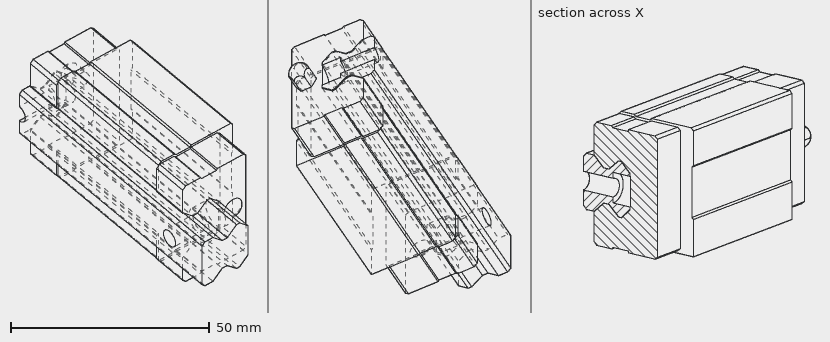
import cadquery as cq
import math


rail_length = 73.15
rail_half_width = 7.5
rail_height = 15.0
rail_base_chamfer = 0.95
rail_foot_top = 3.55
rail_waist_bottom = 6.55
rail_waist_top = 8.1
rail_waist_half_width = 4.7
rail_head_bottom = 11.2
rail_head_top = 12.2
rail_crown_half_width = 4.9

hole_diameter = 4.8
counterbore_diameter = 8.0
counterbore_depth = 5.4
hole_pitch = 60.1
hole_count = 2

side_groove_depth = 0.5
side_groove_low = 9.0
side_groove_high = 14.5

block_length = 40.15
block_width = 34.0
block_half_width = block_width / 2
block_bottom = 3.95
block_top = 28.0
block_bottom_chamfer = 0.9
block_top_chamfer = 0.7
recess_half_width = 6.6
recess_depth = 0.5
block_groove_low_slope = 0.55
block_groove_high_slope = 0.5

cap_length = 10.4
cap_start = 0.3
cap_half_width = 16.3
cap_bottom = 3.3
cap_top = 23.8
cap_bottom_chamfer = 0.95
cap_top_chamfer_y = 0.9
cap_top_chamfer_z = 0.7
cap_groove_low_slope = 0.5
cap_groove_high_slope = 0.2

nipple_height = 19.65
nipple_across_flats = 5.1
overall_length = 78.9
nipple_tip_x = rail_length - overall_length
nipple_tip_radius = 3.0
plug_diameter = 5.7
plug_face_diameter = 3.2
plug_length = 0.95
plug_bulge_radius = 1.4

block_start = cap_start + cap_length
block_end = block_start + block_length
cap_end = block_end + cap_length


def extrude_profile(points, x_start, length):
    """Extrude an outline of (y, z) points along +X."""
    return cq.Workplane("YZ", origin=(x_start, 0, 0)).polyline(points).close().extrude(length)


def mirrored(half_points):
    """Close a half outline of (y, z) points by reflecting it in z = 0."""
    return half_points + [(y, -z) for y, z in reversed(half_points)]


def make_rail_bar():
    half_outline = [
        (0, rail_half_width - rail_base_chamfer),
        (rail_base_chamfer, rail_half_width),
        (rail_foot_top, rail_half_width),
        (rail_waist_bottom, rail_waist_half_width),
        (rail_waist_top, rail_waist_half_width),
        (rail_head_bottom, rail_half_width),
        (rail_head_top, rail_half_width),
        (rail_height, rail_crown_half_width),
    ]
    return extrude_profile(mirrored(half_outline), 0, rail_length)


def make_hole_cutter(x, diameter, bottom, top):
    return (
        cq.Workplane("XZ", origin=(x, top, 0))
        .circle(diameter / 2)
        .extrude(top - bottom)
    )


def make_rail():
    rail = make_rail_bar()
    for index in range(hole_count):
        x = index * hole_pitch
        rail = rail.cut(make_hole_cutter(x, hole_diameter, 0, rail_height))
        counterbore_floor = rail_height - counterbore_depth
        rail = rail.cut(make_hole_cutter(x, counterbore_diameter, counterbore_floor, rail_height))
    return rail


def side_groove_points(half_width, low_slope, high_slope):
    """Points of the shallow groove along one side, from low to high y."""
    floor = half_width - side_groove_depth
    return [
        (side_groove_low, half_width),
        (side_groove_low + low_slope, floor),
        (side_groove_high - high_slope, floor),
        (side_groove_high, half_width),
    ]


def make_block():
    outline = mirrored([
        (block_bottom, block_half_width - block_bottom_chamfer),
        (block_bottom + block_bottom_chamfer, block_half_width),
        *side_groove_points(block_half_width, block_groove_low_slope, block_groove_high_slope),
        (block_top, block_half_width),
    ])
    block = extrude_profile(outline, block_start, block_length)
    block = block.edges("|X and >Y and >Z").chamfer(block_top_chamfer)
    recess_outline = mirrored([
        (block_top - recess_depth, recess_half_width),
        (block_top, recess_half_width + recess_depth),
    ])
    return block.cut(extrude_profile(recess_outline, block_start, block_length))


def make_end_cap(x_start):
    outline = mirrored([
        (cap_bottom, cap_half_width - cap_bottom_chamfer),
        (cap_bottom + cap_bottom_chamfer, cap_half_width),
        *side_groove_points(cap_half_width, cap_groove_low_slope, cap_groove_high_slope),
        (cap_top - cap_top_chamfer_y, cap_half_width),
        (cap_top, cap_half_width - cap_top_chamfer_z),
    ])
    return extrude_profile(outline, x_start, cap_length)


def make_nipple():
    """Hexagonal shank, corners up and down in Y, with a spherical tip."""
    length = cap_start - nipple_tip_x
    across_corners = nipple_across_flats / math.cos(math.pi / 6)
    shank = (
        cq.Workplane("YZ", origin=(nipple_tip_x, nipple_height, 0))
        .polygon(6, across_corners)
        .extrude(length)
    )
    sphere_centre_x = nipple_tip_x + nipple_tip_radius
    envelope = (
        cq.Workplane("YZ", origin=(sphere_centre_x, nipple_height, 0))
        .circle(nipple_tip_radius)
        .extrude(cap_start - sphere_centre_x)
        .union(
            cq.Workplane("XY", origin=(sphere_centre_x, nipple_height, 0))
            .sphere(nipple_tip_radius)
        )
    )
    return shank.intersect(envelope)


def make_plug():
    """Low round plug on the far end cap, bulging up to a flat end face."""
    return (
        cq.Workplane("XY", origin=(cap_end, nipple_height, 0))
        .lineTo(0, plug_diameter / 2)
        .radiusArc((plug_length, plug_face_diameter / 2), plug_bulge_radius)
        .lineTo(plug_length, 0)
        .close()
        .revolve(360, (0, 0, 0), (1, 0, 0))
    )


def make_carriage():
    carriage = make_block()
    for x_start in (cap_start, block_end):
        carriage = carriage.union(make_end_cap(x_start))
    carriage = carriage.union(make_nipple()).union(make_plug())
    return carriage.cut(make_rail_bar())


rail = make_rail()
carriage = make_carriage()
result = cq.Compound.makeCompound([rail.solids().val(), carriage.solids().val()])